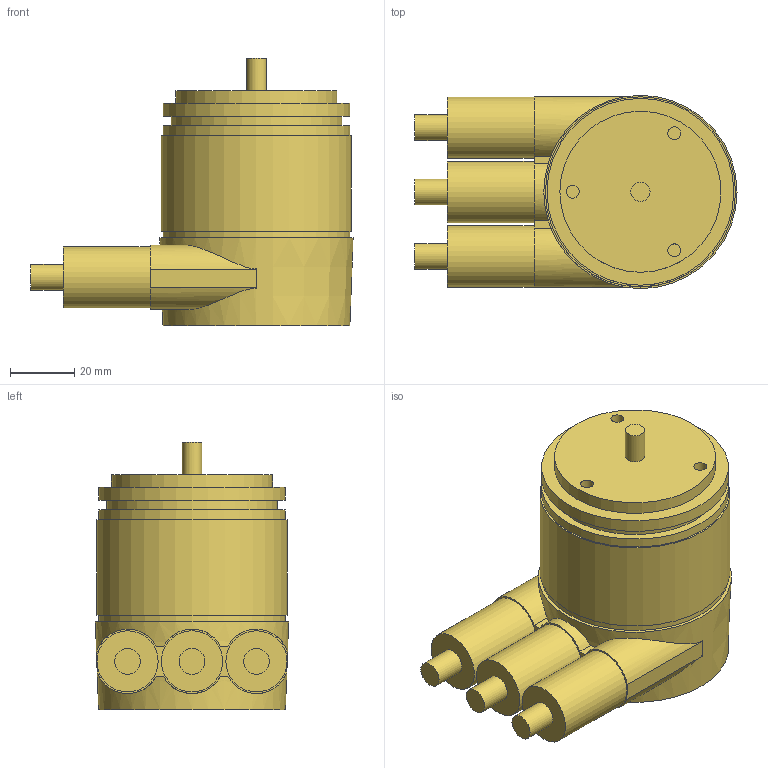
import cadquery as cq

base_bottom_radius = 29.0
base_top_radius = 30.0
base_top = 27.3
band_radius = 29.0
band_top = 29.3
body_radius = 29.5
body_top = 59.0
flange_radius = 29.0
lower_flange_top = 62.0
groove_radius = 26.5
groove_top = 65.0
upper_flange_top = 69.0
pilot_radius = 25.0
pilot_top = 73.0
shaft_radius = 3.0
shaft_length = 10.0

hole_count = 3
hole_diameter = 4.0
hole_circle_radius = 21.0
hole_depth = 10.0
first_hole_angle = 180.0

outlet_spacing = 20.0
outlet_height = 15.0
outlet_offsets = (-outlet_spacing, 0.0, outlet_spacing)
socket_radius = 10.0
socket_length = 33.0
sleeve_radius = 9.5
sleeve_length = 27.0
cable_radius = 4.0
cable_length = 10.0
web_height = 9.4
flat_step = 0.02


def disc(radius, bottom, top):
    """Cylinder about the Z axis between two heights."""
    return cq.Workplane("XY").workplane(offset=bottom).circle(radius).extrude(top - bottom)


def rod(radius, y, outer_end, length):
    """Horizontal cylinder at outlet height, running from outer_end toward +X."""
    return cq.Workplane("YZ", origin=(outer_end, y, outlet_height)).circle(radius).extrude(length)


def make_base():
    """Conical base, widening from the bottom face to the housing joint."""
    profile = (
        cq.Workplane("XZ")
        .lineTo(base_bottom_radius, 0)
        .lineTo(base_top_radius, base_top)
        .lineTo(0, base_top)
        .close()
    )
    return profile.revolve(360, (0, 0, 0), (0, 1, 0))


def make_upper_housing():
    """Stepped stack of coaxial discs above the base, ending in the shaft."""
    steps = (
        (band_radius, band_top),
        (body_radius, body_top),
        (flange_radius, lower_flange_top),
        (groove_radius, groove_top),
        (flange_radius, upper_flange_top),
        (pilot_radius, pilot_top),
        (shaft_radius, pilot_top + shaft_length),
    )
    stack = cq.Workplane("XY")
    bottom = base_top
    for radius, top in steps:
        stack = stack.union(disc(radius, bottom, top))
        bottom = top
    return stack


def make_sockets():
    """Outlet sockets joined by a flat web, with the outer sides trimmed flush with the base.

    The trimming planes slope with the conical base and end just outside its surface at X = 0.
    """
    bottom_reach = base_bottom_radius + flat_step
    top_reach = base_top_radius + flat_step
    middle = cq.Workplane("XY", origin=(-socket_length / 2, 0, outlet_height))
    sockets = middle.box(socket_length, 2 * outlet_spacing, web_height)
    for y in outlet_offsets:
        sockets = sockets.union(rod(socket_radius, y, -socket_length, socket_length))
    envelope = (
        cq.Workplane("YZ", origin=(-socket_length, 0, 0))
        .moveTo(-bottom_reach, 0)
        .lineTo(bottom_reach, 0)
        .lineTo(top_reach, base_top)
        .lineTo(-top_reach, base_top)
        .close()
        .extrude(socket_length)
    )
    return sockets.intersect(envelope)


def make_cable(y):
    """Sleeve and cable continuing outward from a socket."""
    sleeve_end = -socket_length - sleeve_length
    sleeve = rod(sleeve_radius, y, sleeve_end, sleeve_length)
    cable = rod(cable_radius, y, sleeve_end - cable_length, cable_length)
    return sleeve.union(cable)


def make_mounting_holes():
    """Blind holes sunk from the pilot face, evenly spaced on a circle."""
    return (
        cq.Workplane("XY")
        .workplane(offset=pilot_top - hole_depth)
        .polarArray(hole_circle_radius, first_hole_angle, 360, hole_count)
        .circle(hole_diameter / 2)
        .extrude(hole_depth)
    )


result = make_base().union(make_upper_housing()).union(make_sockets())
for outlet_y in outlet_offsets:
    result = result.union(make_cable(outlet_y))
result = result.cut(make_mounting_holes())